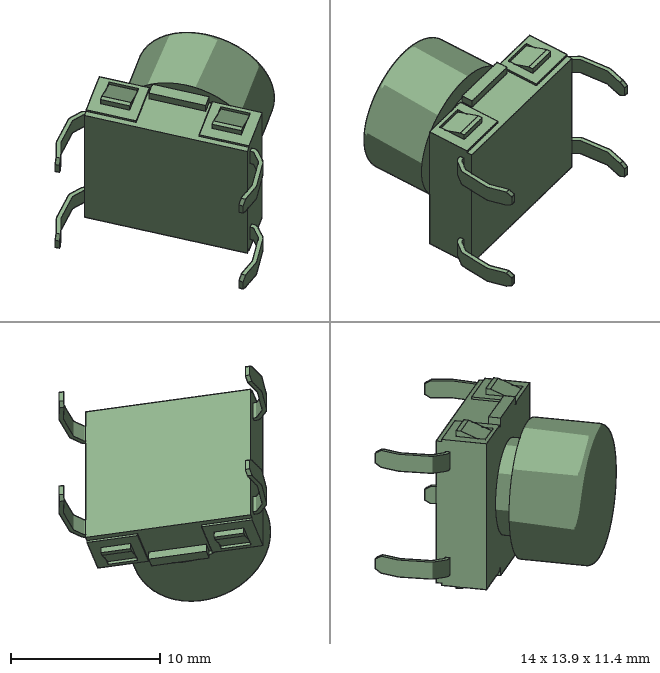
import cadquery as cq
import math

overall_width = 14.0
total_depth = 13.85
overall_height = 11.4

housing_width = 11.4
housing_depth = 3.5
core_height = 10.25

neck_diameter = 6.61
neck_length = 1.33
cap_diameter = 9.6
cap_edge_radius = 0.49

plate_height = 10.55
plate_width = 3.5
plate_length = 3.11

rib_width = 3.98
rib_length = 0.83

latch_width = 2.05
latch_center_x = 3.9
latch_pocket_start = 3.22
latch_crossing = 2.63
latch_crest = 1.51
latch_end = 1.19

lead_reach = 3.99
lead_thickness = 0.31
lead_width = 1.23
lead_tip_width = 0.7
lead_taper_start = -3.55
lead_center_z = 3.82
lead_embed = 0.42
lead_bend_radius = 0.31
lead_exit_y = 0.81
lead_shoulder_x = 6.0
lead_knee_y = -0.03
lead_crown_y = -2.23
lead_ankle_y = -3.45
lead_upper_lean = math.radians(5.1)
lead_lower_lean = math.radians(16.2)
lead_tip_lean = math.radians(7.5)

half_width = housing_width / 2
half_core = core_height / 2
half_plate = plate_height / 2
half_height = overall_height / 2
latch_slope = (half_height - half_plate) / (latch_crossing - latch_crest)
pocket_floor_z = half_plate - latch_slope * (latch_pocket_start - latch_crossing)


def block(x_range, y_range, z_range):
    """Axis-aligned block given by its limits along X, Y and Z."""
    size = [high - low for low, high in (x_range, y_range, z_range)]
    corner = (x_range[0], y_range[0], z_range[0])
    return cq.Workplane("XY").box(*size, centered=False).translate(corner)


def make_core():
    return block((-half_width, half_width), (0, housing_depth), (-half_core, half_core))


def make_button():
    neck_end = housing_depth + neck_length
    cap_end = total_depth - lead_reach
    neck = cq.Workplane("XZ", origin=(0, housing_depth, 0)).circle(neck_diameter / 2).extrude(-neck_length)
    cap = cq.Workplane("XZ", origin=(0, neck_end, 0)).circle(cap_diameter / 2).extrude(neck_end - cap_end)
    return neck.union(cap.faces(">Y").edges().fillet(cap_edge_radius))


def make_rib():
    y_range = (housing_depth - rib_length, housing_depth)
    return block((-rib_width / 2, rib_width / 2), y_range, (half_core, half_height))


def make_corner_plate():
    """Plain plate on the +X, +Z corner."""
    x_range = (half_width - plate_width, half_width)
    return block(x_range, (housing_depth - plate_length, housing_depth), (half_core, half_plate))


def latch_prism(outline):
    """Prism across the +X latch from an outline in (Y, Z)."""
    start_x = latch_center_x - latch_width / 2
    return cq.Workplane("YZ", origin=(start_x, 0, 0)).polyline(outline).close().extrude(latch_width)


def make_latch_pocket():
    return latch_prism([
        (latch_crossing, half_plate),
        (latch_pocket_start, half_plate),
        (latch_pocket_start, pocket_floor_z),
    ])


def make_latch():
    return latch_prism([
        (latch_crossing, half_plate),
        (latch_crest, half_height),
        (latch_end, half_height),
        (latch_end, half_plate),
    ])


def lead_corners():
    """Corners of the lead centreline in (X, Y), from inside the housing to the tip."""
    half_turn = (lead_upper_lean + lead_lower_lean) / 2
    crown_tilt = (lead_lower_lean - lead_upper_lean) / 2
    rounding_loss = lead_bend_radius * (math.cos(crown_tilt) / math.cos(half_turn) - 1)
    crown_x = overall_width / 2 - lead_thickness / 2 + rounding_loss
    knee_x = crown_x - (lead_knee_y - lead_crown_y) * math.tan(lead_upper_lean)
    ankle_x = crown_x - (lead_crown_y - lead_ankle_y) * math.tan(lead_lower_lean)
    tip_y = lead_thickness / 2 * math.sin(lead_tip_lean) - lead_reach
    tip_x = ankle_x - (lead_ankle_y - tip_y) * math.tan(lead_tip_lean)
    return [
        (half_width - lead_embed, lead_exit_y),
        (lead_shoulder_x, lead_exit_y),
        (knee_x, lead_knee_y),
        (crown_x, lead_crown_y),
        (ankle_x, lead_ankle_y),
        (tip_x, tip_y),
    ]


def make_lead():
    """Bent strip with a tapered tip, leaving the +X side at the upper lead position."""
    points = [cq.Vector(x, y, lead_center_z) for x, y in lead_corners()]
    path = cq.Wire.makePolygon(points).fillet(lead_bend_radius)
    start_plane = cq.Workplane("YZ", origin=points[0].toTuple())
    strip = start_plane.rect(lead_thickness, lead_width).sweep(cq.Workplane(obj=path))
    envelope = (
        cq.Workplane("YZ", origin=(0, 0, lead_center_z))
        .polyline([
            (housing_depth, lead_width / 2),
            (lead_taper_start, lead_width / 2),
            (-lead_reach, lead_tip_width / 2),
            (-lead_reach, -lead_tip_width / 2),
            (lead_taper_start, -lead_width / 2),
            (housing_depth, -lead_width / 2),
        ])
        .close()
        .extrude(overall_width)
    )
    return strip.intersect(envelope)


def on_four_corners(shape):
    """Repeat a +X, +Z shape symmetrically about the YZ and XY planes."""
    upper = shape.union(shape.mirror("YZ"))
    return upper.union(upper.mirror("XY"))


rib = make_rib()
housing = make_core().union(rib).union(rib.mirror("XY"))
housing = housing.union(on_four_corners(make_corner_plate()))
housing = housing.cut(on_four_corners(make_latch_pocket()))
housing = housing.union(on_four_corners(make_latch()))

result = housing.union(make_button()).union(on_four_corners(make_lead()))